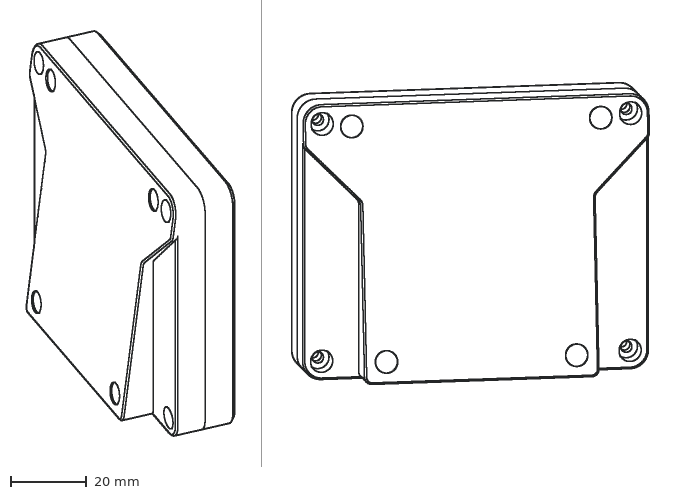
import cadquery as cq
import math

WIDTH = 93.2
HEIGHT = 74.2
DEPTH = 26.6
CORNER_RADIUS = 5.0

BACK_DEPTH = 9.0
WING_DEPTH = 17.4
BACK_CHAMFER = 1.0
FRONT_CHAMFER = 0.5

TILT = 7.0
WEDGE_WIDTH = 63.2
SHOULDER_Z = 25.9
SHOULDER_ANGLE = 45.0
WEDGE_FILLET = 2.0

SCREW_INSET = CORNER_RADIUS
SCREW_DIAMETER = 3.0
HEAD_DIAMETER = 6.0
HEAD_SEAT_DEPTH = 12.1
SCREW_END_DEPTH = 4.7
DRILL_POINT_ANGLE = 118.0

FOOT_DIAMETER = 6.0
FOOT_RECESS = 0.5
UPPER_FOOT_X = 33.55
UPPER_FOOT_Z = 31.1
LOWER_FOOT_X = 25.6
LOWER_FOOT_Z = -31.2

TILT_SLOPE = math.tan(math.radians(TILT))
DEEPEST_Z = -HEIGHT / 2 + FRONT_CHAMFER


def front_depth(z):
    """Depth of the tilted front face at height z."""
    return DEPTH - (z - DEEPEST_Z) * TILT_SLOPE


def rounded_plate(start, end):
    """Plate with the case outline between two depths in front of the back face."""
    return (
        cq.Workplane("XZ", origin=(0, -start, 0))
        .rect(WIDTH, HEIGHT)
        .extrude(end - start)
        .edges("|Y")
        .fillet(CORNER_RADIUS)
    )


def wedge_block():
    """T-shaped block over the case, narrowing at 45 degree shoulders, with a tilted front."""
    half = WIDTH / 2
    half_wedge = WEDGE_WIDTH / 2
    top = HEIGHT / 2
    neck_z = SHOULDER_Z - (half - half_wedge) * math.tan(math.radians(SHOULDER_ANGLE))
    right_side = [(half, top), (half, SHOULDER_Z), (half_wedge, neck_z), (half_wedge, -top)]
    left_side = [(-x, z) for x, z in reversed(right_side)]
    block = (
        cq.Workplane("XZ", origin=(0, -BACK_DEPTH, 0))
        .polyline(right_side + left_side)
        .close()
        .extrude(DEPTH)
    )
    block = block.edges("|Y").edges("not(>Z)").fillet(WEDGE_FILLET)
    block = block.edges("|Y").edges(">Z").fillet(CORNER_RADIUS)
    tilted_prism = (
        cq.Workplane("YZ", origin=(-half, 0, 0))
        .polyline([(0, -top), (-front_depth(-top), -top), (-front_depth(top), top), (0, top)])
        .close()
        .extrude(WIDTH)
    )
    block = block.intersect(tilted_prism)
    return block.faces("<Y").chamfer(FRONT_CHAMFER)


def screw_cutters():
    """Counterbored screw holes that end in drill points inside the back shell."""
    radius = SCREW_DIAMETER / 2
    point_length = radius / math.tan(math.radians(DRILL_POINT_ANGLE / 2))
    hole_profile = [
        (0, -DEPTH),
        (HEAD_DIAMETER / 2, -DEPTH),
        (HEAD_DIAMETER / 2, -HEAD_SEAT_DEPTH),
        (radius, -HEAD_SEAT_DEPTH),
        (radius, -SCREW_END_DEPTH),
        (0, -SCREW_END_DEPTH + point_length),
    ]
    cutter = cq.Workplane("XY").polyline(hole_profile).close().revolve(360, (0, 0), (0, 1))
    x = WIDTH / 2 - SCREW_INSET
    z = HEIGHT / 2 - SCREW_INSET
    return [cutter.translate((side * x, 0, level * z)) for side in (-1, 1) for level in (-1, 1)]


def foot_cutters():
    """Discs that sink the foot recesses into the tilted face."""
    places = [(side * UPPER_FOOT_X, UPPER_FOOT_Z) for side in (-1, 1)]
    places += [(side * LOWER_FOOT_X, LOWER_FOOT_Z) for side in (-1, 1)]
    tilt = math.radians(TILT)
    outward = (0, -math.cos(tilt), math.sin(tilt))
    cutters = []
    for x, z in places:
        plane = cq.Plane(origin=(x, -front_depth(z), z), xDir=(1, 0, 0), normal=outward)
        cutters.append(cq.Workplane(plane).circle(FOOT_DIAMETER / 2).extrude(-FOOT_RECESS))
    return cutters


def make_back_shell():
    shell = rounded_plate(0, BACK_DEPTH).faces(">Y").chamfer(BACK_CHAMFER)
    for cutter in screw_cutters():
        shell = shell.cut(cutter)
    return shell


def make_front_shell():
    wings = rounded_plate(BACK_DEPTH, WING_DEPTH).faces("<Y").chamfer(FRONT_CHAMFER)
    shell = wings.union(wedge_block())
    for cutter in screw_cutters() + foot_cutters():
        shell = shell.cut(cutter)
    return shell


back_shell = make_back_shell()
front_shell = make_front_shell()

result = cq.Compound.makeCompound([back_shell.val(), front_shell.val()])